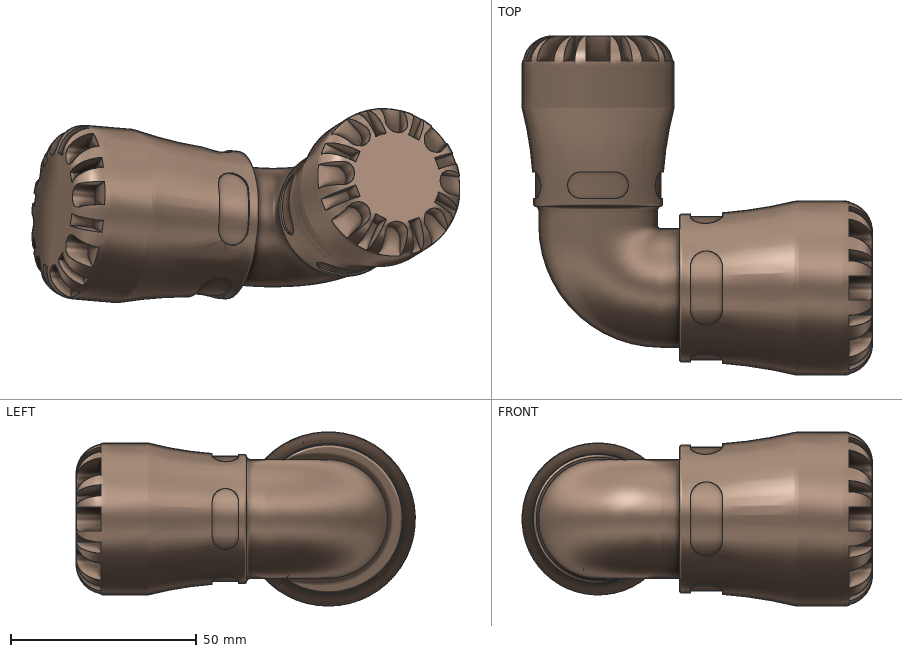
import math

import cadquery as cq

pipe_radius = 16.0
bend_radius = 17.0

socket_start = 22.0
collar_end = 24.6
collar_rounding = 0.75
nose_rounding = 8.0
wide_slot_width = 6.4
narrow_slot_width = 3.2
slots_per_kind = 8
slot_floor_inset = 0.2
pockets_per_socket = 4

large_socket = dict(
    end=74.0,
    nose_radius=23.5,
    nose_start=54.1,
    shoulder_start=53.1,
    shoulder_radius=23.4,
    collar_radius=20.0,
    slot_depth=6.35,
    pocket_floor_radius=19.4,
    pocket_start=24.9,
    pocket_end=33.6,
    pocket_length=20.0,
)

small_socket = dict(
    end=68.0,
    nose_radius=20.5,
    nose_start=48.6,
    shoulder_start=48.6,
    shoulder_radius=20.5,
    collar_radius=17.425,
    slot_depth=6.7,
    pocket_floor_radius=16.95,
    pocket_start=24.2,
    pocket_end=31.3,
    pocket_length=16.4,
)

flare_start = 20.8
flare_radius = small_socket["collar_radius"] - collar_rounding

arc_middle_inset = 1 - math.sqrt(0.5)


def elbow():
    """Round bar bent through 90 degrees, with straight ends reaching into both sockets."""
    path = (
        cq.Workplane("XY")
        .moveTo(0, collar_end)
        .lineTo(0, bend_radius)
        .radiusArc((bend_radius, 0), -bend_radius)
        .lineTo(collar_end, 0)
    )
    return cq.Workplane("XZ", origin=(0, collar_end, 0)).circle(pipe_radius).sweep(path)


def flare():
    """Hollow-curved flare around the pipe, along Z, leaving the pipe surface tangentially."""
    return (
        cq.Workplane("XZ")
        .moveTo(0, bend_radius)
        .lineTo(pipe_radius, bend_radius)
        .lineTo(pipe_radius, flare_start)
        .tangentArcPoint((flare_radius, socket_start), relative=False)
        .lineTo(0, socket_start)
        .close()
        .revolve(360, (0, 0, 0), (0, 1, 0))
    )


def socket_body(size):
    """Solid of revolution about Z: rounded collar, flaring waist and rounded nose."""
    collar_radius = size["collar_radius"]
    nose_radius = size["nose_radius"]
    collar_inset = arc_middle_inset * collar_rounding
    nose_inset = arc_middle_inset * nose_rounding
    nose_rounding_start = size["end"] - nose_rounding
    profile = (
        cq.Workplane("XZ")
        .moveTo(0, socket_start)
        .lineTo(collar_radius - collar_rounding, socket_start)
        .threePointArc(
            (collar_radius - collar_inset, socket_start + collar_inset),
            (collar_radius, socket_start + collar_rounding),
        )
        .lineTo(collar_radius, collar_end)
        .tangentArcPoint((size["shoulder_radius"], size["shoulder_start"]), relative=False)
    )
    if size["nose_start"] > size["shoulder_start"]:
        profile = profile.lineTo(nose_radius, size["nose_start"])
    return (
        profile.lineTo(nose_radius, nose_rounding_start)
        .threePointArc(
            (nose_radius - nose_inset, size["end"] - nose_inset),
            (nose_radius - nose_rounding, size["end"]),
        )
        .lineTo(0, size["end"])
        .close()
        .revolve(360, (0, 0, 0), (0, 1, 0))
    )


def nose_slots(size):
    """Radial grip slots: wide round-bottomed ones alternating with narrow flat-bottomed ones."""
    floor_radius = size["nose_radius"] - nose_rounding - slot_floor_inset
    reach = size["nose_radius"]
    base = cq.Workplane("XY", origin=(floor_radius + reach / 2, 0, size["end"] - size["slot_depth"]))
    wide = base.slot2D(reach, wide_slot_width).extrude(size["slot_depth"])
    narrow = base.rect(reach, narrow_slot_width).extrude(size["slot_depth"])
    pitch = 360 / slots_per_kind
    cutters = []
    for index in range(slots_per_kind):
        cutters.append(wide.rotate((0, 0, 0), (0, 0, 1), index * pitch))
        cutters.append(narrow.rotate((0, 0, 0), (0, 0, 1), (index + 0.5) * pitch))
    return cutters


def finger_pockets(size):
    """Shallow oval pockets around the waist, with a cylindrical floor."""
    width = size["pocket_end"] - size["pocket_start"]
    middle = (size["pocket_start"] + size["pocket_end"]) / 2
    reach = size["nose_radius"]
    core = cq.Workplane("XY").circle(size["pocket_floor_radius"]).extrude(size["end"])
    pocket = (
        cq.Workplane("YZ")
        .center(0, middle)
        .slot2D(size["pocket_length"], width)
        .extrude(reach)
        .cut(core)
    )
    pitch = 360 / pockets_per_socket
    cutters = []
    for index in range(pockets_per_socket):
        cutters.append(pocket.rotate((0, 0, 0), (0, 0, 1), index * pitch))
    return cutters


def socket(size):
    """Complete socket along Z, with its pockets and slots cut."""
    body = socket_body(size)
    for cutter in nose_slots(size) + finger_pockets(size):
        body = body.cut(cutter)
    return body


def turned_to_x(part):
    """Swing a part from the Z axis onto the X axis."""
    return part.rotate((0, 0, 0), (0, 1, 0), 90)


def turned_to_y(part):
    """Swing a part from the Z axis onto the Y axis."""
    return part.rotate((0, 0, 0), (1, 0, 0), -90)


result = (
    elbow()
    .union(turned_to_x(socket(large_socket)))
    .union(turned_to_y(socket(small_socket)))
    .union(turned_to_y(flare()))
)